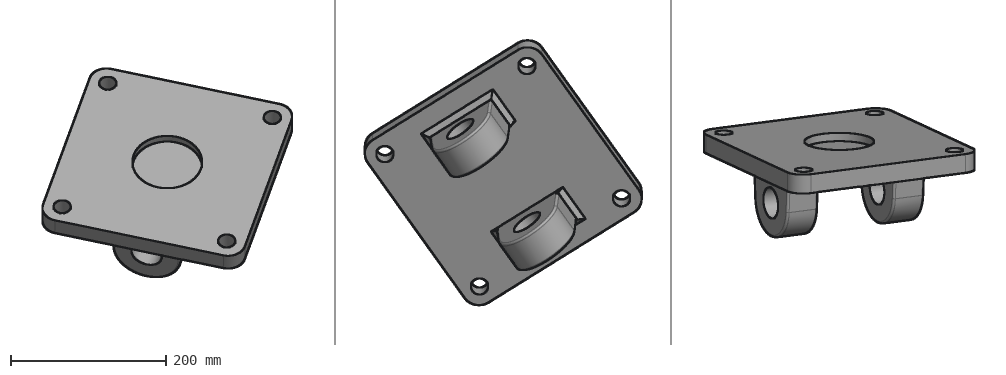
import cadquery as cq
import math

plate_size = 270.0
plate_thickness = 25.0
corner_radius = 22.5
bolt_spacing = 220.0
bolt_diameter = 22.1
recess_diameter = 90.0
recess_depth = 11.0

total_height = 115.0
lug_radius = 45.0
lug_thickness = 44.8
lug_gap = 110.2
lug_taper = math.radians(4)
lug_edge_radius = 3.0
pin_diameter = 40.5
weld_size = 7.8

plate_bottom = -plate_thickness
pin_z = lug_radius - total_height
weld_bottom = plate_bottom - weld_size
lug_inner_y = lug_gap / 2
lug_outer_y = lug_inner_y + lug_thickness


def lug_half_width(z):
    """Half width of the tapered flanks, which are tangent to the round end."""
    return (lug_radius + (z - pin_z) * math.sin(lug_taper)) / math.cos(lug_taper)


def make_plate():
    plate = cq.Workplane("XY").box(
        plate_size, plate_size, plate_thickness, centered=(True, True, False)
    )
    plate = plate.translate((0, 0, plate_bottom)).edges("|Z").fillet(corner_radius)
    plate = (
        plate.faces(">Z").workplane()
        .rect(bolt_spacing, bolt_spacing, forConstruction=True)
        .vertices().hole(bolt_diameter)
    )
    recess = cq.Workplane("XY").circle(recess_diameter / 2).extrude(-recess_depth)
    return plate.cut(recess)


def make_lug():
    """Lug on the +Y side, with a sloped weld on all sides but the inner one."""
    top_x = lug_half_width(plate_bottom)
    tangent_x = lug_radius * math.cos(lug_taper)
    tangent_z = pin_z - lug_radius * math.sin(lug_taper)
    lug = (
        cq.Workplane("XZ", origin=(0, lug_outer_y, 0))
        .moveTo(-top_x, plate_bottom)
        .lineTo(-tangent_x, tangent_z)
        .threePointArc((0, pin_z - lug_radius), (tangent_x, tangent_z))
        .lineTo(top_x, plate_bottom)
        .close()
        .extrude(lug_thickness)
    )
    lug = lug.faces("<Y or >Y").edges("not >Z").fillet(lug_edge_radius)

    weld_x = lug_half_width(weld_bottom)
    mid_y = (lug_inner_y + lug_outer_y) / 2
    weld = (
        cq.Workplane("XY", origin=(0, mid_y, weld_bottom))
        .rect(2 * weld_x, lug_thickness)
        .workplane(offset=weld_size)
        .center(0, weld_size / 2)
        .rect(2 * (weld_x + weld_size), lug_thickness + weld_size)
        .loft(ruled=True)
    )
    pin_hole = (
        cq.Workplane("XZ", origin=(0, lug_outer_y, pin_z))
        .circle(pin_diameter / 2)
        .extrude(lug_thickness)
    )
    return lug.union(weld).cut(pin_hole)


lug = make_lug()
result = make_plate().union(lug).union(lug.mirror("XZ"))